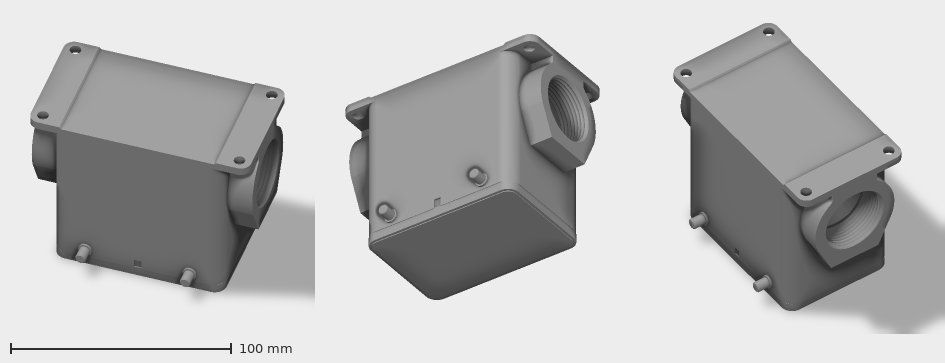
import cadquery as cq
import math

total_height = 81.0
flange_length = 105.5
flange_width = 56.5
pin_span = 71.1

flange_thickness = 4.0
flange_corner_radius = 5.0
flange_recess_depth = 1.0
flange_recess_floor_length = 73.0
mount_hole_diameter = 5.3
mount_hole_spacing_x = 94.0
mount_hole_spacing_y = 46.0

body_length = 81.9
body_corner_radius = 7.2
base_inset = 0.3
base_corner_radius = 5.8
base_top = 4.8
lip_height = 0.4
lip_inset = 1.4

entry_height = 54.5
collar_radius = 22.0
collar_bottom_height = 31.3
collar_flat_half_width = 13.1
collar_shoulder_drop = 7.8
neck_half_width = 12.2
neck_fillet_radius = 2.3

bore_diameter = 28.0
entry_hole_diameter = 31.5
entry_mouth_diameter = 32.4
thread_crest_diameter = 30.4
thread_depth = 15.0
thread_pitch = 1.8
thread_ridge_width = 1.6
thread_ridge_count = 8

pin_spacing = 50.0
pin_height = 9.4
pin_diameter = 5.0
pin_tip_chamfer = 0.4
pin_collar_diameter = 6.5
pin_collar_length = 1.1

notch_width = 3.6
notch_top = 9.6
notch_depth = 0.9
notch_sill_height = 0.4

flange_bottom = total_height - flange_thickness
flange_end = flange_length / 2
body_side = flange_width / 2
overlap = 1.0


def rounded_block(length, width, corner_radius, bottom, top):
    """Block centred on Z with rounded vertical edges."""
    block = cq.Workplane("XY").workplane(offset=bottom).rect(length, width).extrude(top - bottom)
    return block.edges("|Z").fillet(corner_radius)


def make_flange():
    flange = rounded_block(
        flange_length, flange_width, flange_corner_radius, flange_bottom, total_height
    )
    holes = (
        cq.Workplane("XY")
        .workplane(offset=flange_bottom)
        .rect(mount_hole_spacing_x, mount_hole_spacing_y, forConstruction=True)
        .vertices()
        .circle(mount_hole_diameter / 2)
        .extrude(flange_thickness)
    )
    return flange.cut(holes)


def make_flange_recess():
    """Shallow trough across the top, with 45 degree end walls."""
    floor_half = flange_recess_floor_length / 2
    top_half = floor_half + flange_recess_depth
    floor_height = total_height - flange_recess_depth
    return (
        cq.Workplane("XZ")
        .moveTo(-floor_half, floor_height)
        .lineTo(floor_half, floor_height)
        .lineTo(top_half, total_height)
        .lineTo(-top_half, total_height)
        .close()
        .extrude(body_side, both=True)
    )


def make_body():
    body = rounded_block(body_length, flange_width, body_corner_radius, base_top, flange_bottom)
    base_length = body_length - 2 * base_inset
    base_width = flange_width - 2 * base_inset
    base = rounded_block(base_length, base_width, base_corner_radius, lip_height, base_top)
    lip = rounded_block(
        base_length - 2 * lip_inset,
        base_width - 2 * lip_inset,
        base_corner_radius - lip_inset,
        0,
        lip_height,
    )
    return body.union(base).union(lip)


def make_collars():
    """Keyhole-shaped collars on both ends, as one bar along X hung from the flange."""
    shoulder_half_width = math.sqrt(collar_radius**2 - collar_shoulder_drop**2)
    shoulder_height = entry_height - collar_shoulder_drop

    fillet_y = neck_half_width + neck_fillet_radius
    centre_distance = collar_radius + neck_fillet_radius
    fillet_rise = math.sqrt(centre_distance**2 - fillet_y**2)
    fillet_z = entry_height + fillet_rise
    touch_y = fillet_y * collar_radius / centre_distance
    touch_z = entry_height + fillet_rise * collar_radius / centre_distance
    middle_angle = math.pi + math.atan2(fillet_rise, fillet_y) / 2
    middle_y = fillet_y + neck_fillet_radius * math.cos(middle_angle)
    middle_z = fillet_z + neck_fillet_radius * math.sin(middle_angle)

    return (
        cq.Workplane("YZ")
        .moveTo(-collar_flat_half_width, collar_bottom_height)
        .lineTo(collar_flat_half_width, collar_bottom_height)
        .lineTo(shoulder_half_width, shoulder_height)
        .threePointArc((collar_radius, entry_height), (touch_y, touch_z))
        .threePointArc((middle_y, middle_z), (neck_half_width, fillet_z))
        .lineTo(neck_half_width, flange_bottom)
        .lineTo(-neck_half_width, flange_bottom)
        .lineTo(-neck_half_width, fillet_z)
        .threePointArc((-middle_y, middle_z), (-touch_y, touch_z))
        .threePointArc((-collar_radius, entry_height), (-shoulder_half_width, shoulder_height))
        .close()
        .extrude(flange_end, both=True)
    )


def make_entry_cutter(side):
    """Cable entry hole in one end, tapered at its mouth and leaving ring-shaped V ridges as thread."""
    hole_radius = entry_hole_diameter / 2
    mouth_radius = entry_mouth_diameter / 2
    crest_radius = thread_crest_diameter / 2
    thread_start = flange_end - (mouth_radius - hole_radius)
    thread_end = flange_end - thread_depth

    profile = [(flange_end, 0), (flange_end, mouth_radius), (thread_start, hole_radius)]
    for index in range(thread_ridge_count):
        ridge_middle = thread_start - thread_pitch * (index + 0.5)
        profile.append((ridge_middle + thread_ridge_width / 2, hole_radius))
        profile.append((ridge_middle, crest_radius))
        profile.append((ridge_middle - thread_ridge_width / 2, hole_radius))
    profile += [(thread_end, hole_radius), (thread_end, 0)]

    outline = [(side * x, radius) for x, radius in profile]
    cutter = cq.Workplane("XZ").polyline(outline).close().revolve(360, (0, 0, 0), (1, 0, 0))
    return cutter.translate((0, 0, entry_height))


def make_bore():
    return (
        cq.Workplane("YZ")
        .center(0, entry_height)
        .circle(bore_diameter / 2)
        .extrude(flange_end, both=True)
    )


def make_pin(x, side):
    """Locking pin with a short collar, standing out from the long side at side = -1 or +1."""
    plane = cq.Plane(origin=(x, side * (body_side - overlap), pin_height), normal=(0, side, 0))
    pin_length = pin_span / 2 - body_side + overlap
    pin = cq.Workplane(plane).circle(pin_diameter / 2).extrude(pin_length)
    pin = pin.faces(">Y" if side > 0 else "<Y").chamfer(pin_tip_chamfer)
    collar = cq.Workplane(plane).circle(pin_collar_diameter / 2).extrude(pin_collar_length + overlap)
    return pin.union(collar)


def make_notch(side):
    """Notch above the base; its low sill stands flush with the base wall."""

    def pocket(depth, bottom):
        height = notch_top - bottom
        block = cq.Workplane("XY").box(notch_width, 2 * depth, height)
        return block.translate((0, side * body_side, bottom + height / 2))

    return pocket(notch_depth, base_top + notch_sill_height).union(pocket(base_inset, base_top))


result = make_body().union(make_collars()).union(make_flange()).cut(make_flange_recess())
result = result.cut(make_bore())
for side in (-1, 1):
    result = result.cut(make_entry_cutter(side))
    result = result.cut(make_notch(side))
    for x in (-pin_spacing / 2, pin_spacing / 2):
        result = result.union(make_pin(x, side))